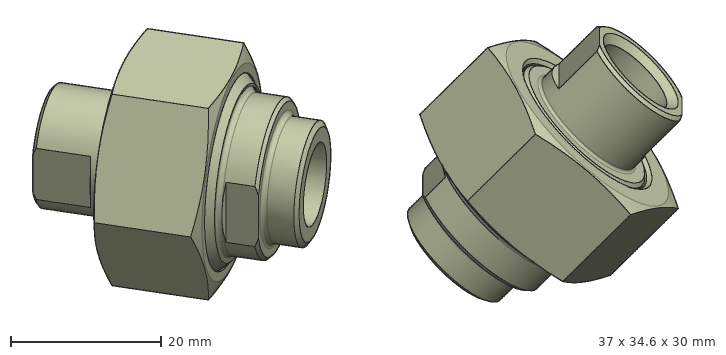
import cadquery as cq
import math


nut_start = 10.5
nut_length = 15.0
nut_end = nut_start + nut_length
nut_lip_length = 4.0
collar_start = nut_start + nut_lip_length
collar_length = 3.0
joint = collar_start + collar_length
body_rim_end = 26.5
body_neck_end = 32.0
overall_length = 37.0

bore_radius = 11.45 / 2
edge_chamfer = 0.5
flat_end_lean = 15.0
cutter_margin = 1.0

tail_radius = 17.0 / 2
tail_mouth_radius = 6.8
tail_mouth_depth = tail_mouth_radius - bore_radius
tail_setback = 0.1
tail_shoulder = nut_start + tail_setback
tail_fillet = 0.4
tail_sleeve_radius = 22.0 / 2
tail_collar_radius = 25.0 / 2
tail_flat_width = 15.0
tail_flat_end = 8.0

nut_across_flats = 30.0
nut_across_corners = nut_across_flats / math.cos(math.pi / 6)
nut_face_radius = 29.5 / 2
nut_bevel_angle = 18.0
nut_bevel_reach = (nut_across_corners / 2 - nut_face_radius) * math.tan(math.radians(nut_bevel_angle))
nut_mouth_radius = 22.5 / 2
nut_thread_radius = 26.85 / 2

body_rim_radius = nut_thread_radius
body_rim_chamfer = 1.3
body_neck_radius = 22.1 / 2
body_pipe_radius = 17.2 / 2
body_fillet = 0.75
body_pipe_bevel = 0.8
body_flat_width = 20.0
body_flat_start = 27.5


def revolve_about_x(profile):
    """Turn a closed profile, given as (x, radius), about the X axis."""
    return profile.close().revolve(360, (0, 0, 0), (1, 0, 0))


def fillet_arc(profile, x, radius, size, faces_free_end):
    """Concave quarter arc between a face at x and a smaller cylinder of the given radius.

    Runs from the cylinder up to the face if the face looks to -X, otherwise from face to cylinder.
    """
    side = -1 if faces_free_end else 1
    on_cylinder = (x + side * size, radius)
    on_face = (x, radius + size)
    inset = size * (1 - math.sqrt(0.5))
    middle = (x + side * inset, radius + inset)
    end = on_face if faces_free_end else on_cylinder
    return profile.threePointArc(middle, end)


def flat_cutters(start, end, width, radius, inner_end):
    """Two cutters for parallel flats facing +Y and -Y; the inner end wall leans outward.

    inner_end is +1 when the leaning wall is at the end station, -1 when it is at the start.
    """
    half = width / 2
    height = radius + cutter_margin - half
    lean = inner_end * height * math.tan(math.radians(flat_end_lean))
    outline = [(start, half), (end, half)]
    if inner_end > 0:
        outline += [(end + lean, half + height), (start, half + height)]
    else:
        outline += [(end, half + height), (start + lean, half + height)]
    cutter = cq.Workplane("XY").polyline(outline).close().extrude(radius, both=True)
    return cutter.union(cutter.mirror("XZ"))


def make_tail():
    profile = (
        cq.Workplane("XY")
        .moveTo(0, tail_mouth_radius)
        .lineTo(0, tail_radius - edge_chamfer)
        .lineTo(edge_chamfer, tail_radius)
        .lineTo(tail_shoulder - tail_fillet, tail_radius)
    )
    profile = (
        fillet_arc(profile, tail_shoulder, tail_radius, tail_fillet, True)
        .lineTo(tail_shoulder, tail_sleeve_radius - edge_chamfer)
        .lineTo(tail_shoulder + edge_chamfer, tail_sleeve_radius)
        .lineTo(collar_start, tail_sleeve_radius)
        .lineTo(collar_start, tail_collar_radius)
        .lineTo(joint, tail_collar_radius)
        .lineTo(joint, bore_radius)
        .lineTo(tail_mouth_depth, bore_radius)
    )
    return revolve_about_x(profile).cut(flat_cutters(0, tail_flat_end, tail_flat_width, tail_radius, 1))


def make_nut():
    hexagon = (
        cq.Workplane("YZ", origin=(nut_start, 0, 0))
        .polygon(6, nut_across_corners)
        .extrude(nut_length)
    )
    envelope = revolve_about_x(
        cq.Workplane("XY")
        .moveTo(nut_start, nut_mouth_radius + edge_chamfer)
        .lineTo(nut_start, nut_face_radius)
        .lineTo(nut_start + nut_bevel_reach, nut_across_corners / 2)
        .lineTo(nut_end - nut_bevel_reach, nut_across_corners / 2)
        .lineTo(nut_end, nut_face_radius)
        .lineTo(nut_end, nut_thread_radius)
        .lineTo(collar_start, nut_thread_radius)
        .lineTo(collar_start, nut_mouth_radius)
        .lineTo(nut_start + edge_chamfer, nut_mouth_radius)
    )
    return hexagon.intersect(envelope)


def make_body():
    profile = (
        cq.Workplane("XY")
        .moveTo(joint, bore_radius)
        .lineTo(joint, body_rim_radius)
        .lineTo(body_rim_end - body_rim_chamfer, body_rim_radius)
        .lineTo(body_rim_end, body_rim_radius - body_rim_chamfer)
        .lineTo(body_rim_end, body_neck_radius + body_fillet)
    )
    profile = (
        fillet_arc(profile, body_rim_end, body_neck_radius, body_fillet, False)
        .lineTo(body_neck_end - edge_chamfer, body_neck_radius)
        .lineTo(body_neck_end, body_neck_radius - edge_chamfer)
        .lineTo(body_neck_end, body_pipe_radius + body_fillet)
    )
    profile = (
        fillet_arc(profile, body_neck_end, body_pipe_radius, body_fillet, False)
        .lineTo(overall_length - edge_chamfer, body_pipe_radius)
        .lineTo(overall_length, body_pipe_radius - body_pipe_bevel)
        .lineTo(overall_length, bore_radius)
    )
    flats = flat_cutters(body_flat_start, body_neck_end, body_flat_width, body_neck_radius, -1)
    return revolve_about_x(profile).cut(flats)


tail = make_tail()
nut = make_nut()
body = make_body()

result = cq.Compound.makeCompound([tail.val(), nut.val(), body.val()])